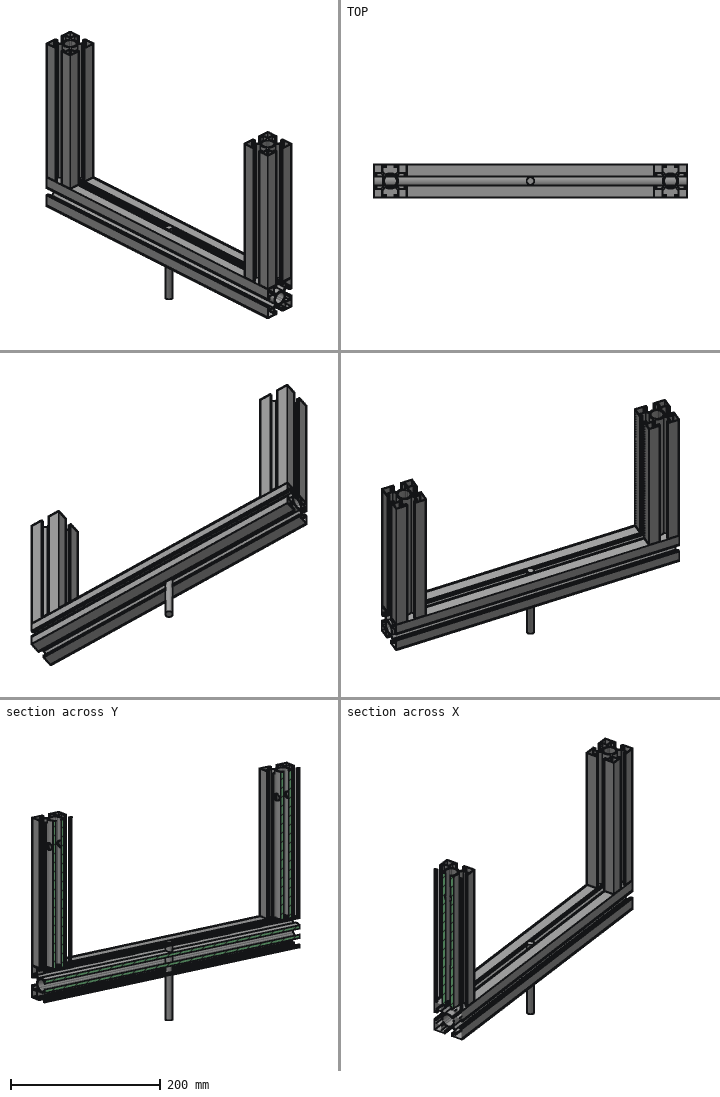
import cadquery as cq
import math

size = 45.0
half = size / 2
wall = 1.0
slot_width = 11.0
lip_depth = 4.0
chamber_half = 10.2
core_radius = 10.5
bore_radius = 8.5
web_thickness = 2.6

beam_length = 419.8
post_height = 207.0
core_projection = 0.2

pin_diameter = 10.0
pin_drop = 64.0
hole_diameter = 10.0
hole_below_top = 37.0

post_offset = beam_length / 2 - half
post_top = half + post_height


def core_solid(length):
    """Round central tube, starting at Z = 0."""
    return cq.Workplane("XY").circle(core_radius).circle(bore_radius).extrude(length)


def corner_outline():
    """Outer outline of the +X +Y corner, with a lip beside each slot."""
    return (
        cq.Workplane("XY")
        .moveTo(half, half)
        .lineTo(slot_width / 2, half)
        .lineTo(slot_width / 2, half - lip_depth)
        .lineTo(chamber_half, half - lip_depth)
        .lineTo(chamber_half, chamber_half)
        .lineTo(half - lip_depth, chamber_half)
        .lineTo(half - lip_depth, slot_width / 2)
        .lineTo(half, slot_width / 2)
        .close()
    )


def corner_shell(length):
    """Thin-walled corner whose hollow cell runs on into both lips."""
    cell = corner_outline().offset2D(-wall, "intersection").extrude(length)
    return corner_outline().extrude(length).cut(cell)


def corner_web(length):
    """Diagonal web from a narrow flat in the bore to the +X +Y corner."""
    start = math.sqrt(bore_radius**2 - (web_thickness / 2) ** 2)
    end = (chamber_half + wall) * math.sqrt(2)
    return (
        cq.Workplane("XY")
        .center((start + end) / 2, 0)
        .rect(end - start, web_thickness)
        .extrude(length)
        .rotate((0, 0, 0), (0, 0, 1), 45)
    )


def profile(length):
    """Straight extrusion along +Z, starting at Z = 0."""
    body = core_solid(length)
    quadrant = corner_shell(length).union(corner_web(length))
    for quarter in range(4):
        body = body.union(quadrant.rotate((0, 0, 0), (0, 0, 1), 90 * quarter))
    return body


def along_x(body):
    """Turn a body built along +Z to run along X from the beam's -X end."""
    return body.rotate((0, 0, 0), (0, 1, 0), 90).translate((-beam_length / 2, 0, 0))


def beam():
    """Horizontal extrusion whose core tube stands out at the +X end."""
    return along_x(profile(beam_length).union(core_solid(beam_length + core_projection)))


def frame():
    """Beam with an upright post on top of each end."""
    body = beam()
    post = profile(post_height)
    for side in (-1, 1):
        body = body.union(post.translate((side * post_offset, 0, half)))
    return body


def cross_hole():
    """Cutter along X through both posts near their tops."""
    return (
        cq.Workplane("YZ")
        .center(0, post_top - hole_below_top)
        .circle(hole_diameter / 2)
        .extrude(beam_length / 2, both=True)
    )


def pin():
    """Vertical pin through the middle of the beam, flush with its top."""
    return (
        cq.Workplane("XY", origin=(0, 0, -half - pin_drop))
        .circle(pin_diameter / 2)
        .extrude(pin_drop + size)
    )


result = frame().cut(cross_hole()).union(pin())